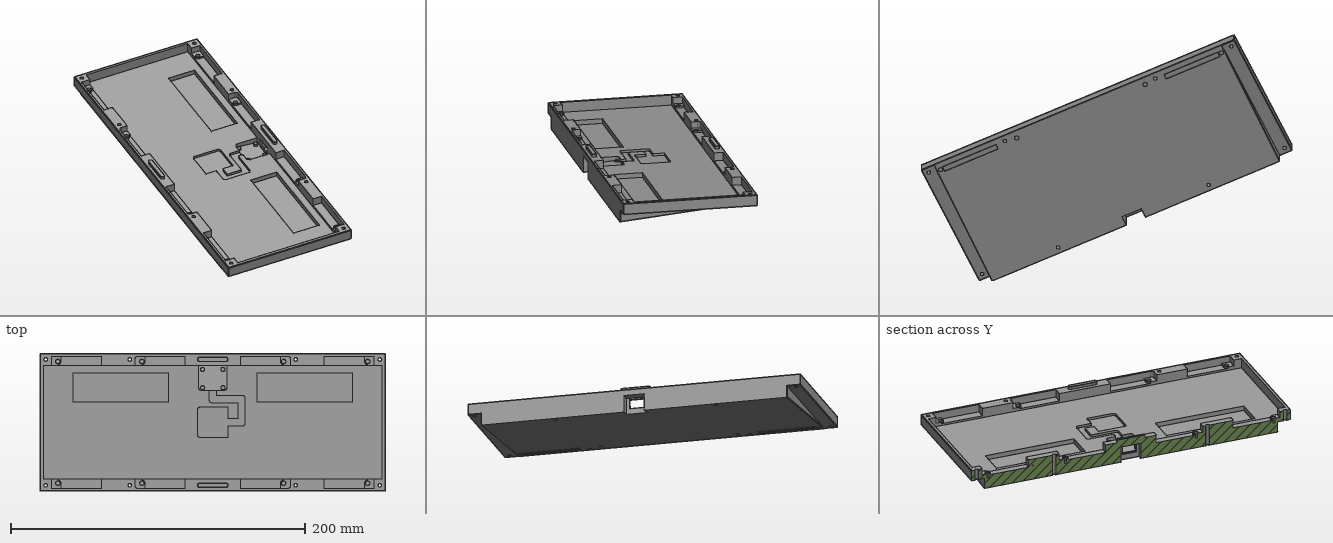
import cadquery as cq
import math


LENGTH = 235.0
WIDTH = 93.5
HEIGHT = 18.0
RIDGE_HEIGHT = 2.0
PLATE_THICKNESS = 8.0
WEDGE_LENGTH = 216.2
EDGE_CHAMFER = 0.5

PLATE_TOP = HEIGHT - RIDGE_HEIGHT
PLATE_BOTTOM = PLATE_TOP - PLATE_THICKNESS
BACK = WIDTH / 2
FRONT = -BACK
SLOPE = PLATE_BOTTOM / WIDTH
SLOPE_ANGLE = math.degrees(math.atan(SLOPE))

TRAY_LENGTH = 230.3
TRAY_WIDTH = 77.0
TRAY_DEPTH = 7.0
TRAY_BACK = TRAY_WIDTH / 2
TRAY_FLOOR = PLATE_TOP - TRAY_DEPTH

NOTCH_LENGTH = 34.0
NOTCH_XS = (35.83, 92.45)
NOTCH_WALL = 1.9
NOTCH_DEPTH = 5.6
INNER_NOTCH_RADIUS = 1.9
NOTCH_FLOOR = PLATE_TOP - NOTCH_DEPTH
NOTCH_BACK = BACK - NOTCH_WALL

SCREW_PITCH = 57.0
PAD_X = 48.2
PAD_Y = 41.4
PAD_HEIGHT = 1.2
PAD_DIAMETER = 4.2
PAD_HOLE_DIAMETER = 3.0
PAD_HOLE_DEPTH = 3.5
PAD_XS = (PAD_X, PAD_X + SCREW_PITCH)
PAD_TOP = NOTCH_FLOOR + PAD_HEIGHT

RIM_Y = 42.8
HOLE_DIAMETER = 2.3
HOLE_X = 56.5
HOLE_XS = (HOLE_X, HOLE_X + SCREW_PITCH)
RIDGE_LENGTH = 21.0
RIDGE_WIDTH = 3.0
RIDGE_CHAMFER = 0.2

BAY_LENGTH = 65.0
BAY_WIDTH = 19.7
BAY_DEPTH = 3.3
BAY_X = 62.5
BAY_Y = 23.7

CHANNEL_DEPTH = 1.6
CHANNEL_WIDTH = 5.0
CHANNEL_TURN_Y = 15.7
CHANNEL_FAR_X = 19.5
SQUARE_SIZE = 20.7
GROOVE_RADIUS = 1.9
GROOVE_FLOOR = TRAY_FLOOR - CHANNEL_DEPTH

SEAT_LENGTH = 19.3
SEAT_FRONT = 21.5
SEAT_BACK_DEPTH = 4.0
SEAT_RADIUS = 1.9
SEAT_BACK_FLOOR = TRAY_FLOOR - SEAT_BACK_DEPTH
SEAT_FRONT_FLOOR = SEAT_BACK_FLOOR + SLOPE * (TRAY_BACK - SEAT_FRONT)

POST_DIAMETER = 2.8
POST_X = 6.93
POST_YS = (23.5, 36.0)
POST_TOP = TRAY_FLOOR - 1.9

PORT_LENGTH = 10.3
PORT_RISE = 1.9
PORT_DROP = 0.5
PLUG_LENGTH = 14.3
PLUG_DEPTH = 6.8
PLUG_RISE = 2.8

FOOT_LENGTH = 40.2
FOOT_WIDTH = 3.5
FOOT_DEPTH = 0.5
FOOT_X = 83.2
FOOT_Y = -41.0

SIDES = (-1, 1)


def block(x_range, y_range, z_range):
    """Box spanning the given (low, high) ranges."""
    (x0, x1), (y0, y1), (z0, z1) = x_range, y_range, z_range
    return cq.Workplane("XY").box(x1 - x0, y1 - y0, z1 - z0, centered=False).translate((x0, y0, z0))


def centred(size, middle=0):
    """Range of the given size about its middle."""
    return (middle - size / 2, middle + size / 2)


def cylinder(x, y, diameter, z_range):
    low, high = z_range
    return cq.Workplane("XY").circle(diameter / 2).extrude(high - low).translate((x, y, low))


def yz_prism(points, length):
    """Profile in the YZ plane, extruded along X symmetrically about X = 0."""
    return cq.Workplane("YZ").polyline(points).close().extrude(length / 2, both=True)


def four_way(tool):
    """The tool together with its mirror images in X and Y."""
    pair = tool.union(tool.mirror("YZ"))
    return pair.union(pair.mirror("XZ"))


def make_plate():
    plate = block(centred(LENGTH), centred(WIDTH), (PLATE_BOTTOM, PLATE_TOP))
    return plate.edges().chamfer(EDGE_CHAMFER)


def make_wedge():
    overlap_front = FRONT + 1.2
    profile = [(FRONT, PLATE_BOTTOM), (BACK, 0), (BACK, TRAY_FLOOR), (overlap_front, TRAY_FLOOR)]
    wedge = yz_prism(profile, WEDGE_LENGTH).edges("|Z").chamfer(EDGE_CHAMFER)
    return wedge.faces("<Z").edges("not |X").chamfer(EDGE_CHAMFER)


def make_notch(centre_x, pad_x, corner_radius):
    """Notch cutter for the +X +Y quarter, leaving its screw pad and drilling the pad hole."""
    x_low, x_high = centred(NOTCH_LENGTH, centre_x)
    notch = block((x_low, x_high), (TRAY_BACK, NOTCH_BACK), (NOTCH_FLOOR, PLATE_TOP))
    if corner_radius > 0:
        notch = notch.edges("|Z and >X and >Y").fillet(corner_radius)

    pad_z = (NOTCH_FLOOR, PAD_TOP)
    pad = block((pad_x, x_high), (TRAY_BACK, NOTCH_BACK), pad_z)
    pad = pad.union(block((pad_x - PAD_DIAMETER / 2, pad_x), (PAD_Y, NOTCH_BACK), pad_z))
    pad = pad.union(cylinder(pad_x, PAD_Y, PAD_DIAMETER, pad_z))
    hole = cylinder(pad_x, PAD_Y, PAD_HOLE_DIAMETER, (PAD_TOP - PAD_HOLE_DEPTH, PAD_TOP))
    return notch.cut(pad).union(hole)


def make_ridge():
    ridge = cq.Workplane("XY").slot2D(RIDGE_LENGTH, RIDGE_WIDTH).extrude(RIDGE_HEIGHT)
    return ridge.faces(">Z").edges().chamfer(RIDGE_CHAMFER).translate((0, RIM_Y, PLATE_TOP))


def make_channel():
    """Channel from the seat: toward -Y, along +X, toward -Y again and back to the square pocket."""
    half = CHANNEL_WIDTH / 2
    turn_y = centred(CHANNEL_WIDTH, CHANNEL_TURN_Y)
    depth = (GROOVE_FLOOR, TRAY_FLOOR)
    cross_run = block((-half, CHANNEL_FAR_X + half), turn_y, depth)
    far_run = block(centred(CHANNEL_WIDTH, CHANNEL_FAR_X), (-half, turn_y[1]), depth)
    seat_run = block(centred(CHANNEL_WIDTH), (turn_y[0], SEAT_FRONT), depth)
    return_run = block((0, CHANNEL_FAR_X), centred(CHANNEL_WIDTH), depth)
    channel = cross_run.union(far_run).edges("|Z and >X").fillet(GROOVE_RADIUS)
    channel = channel.union(return_run).union(seat_run)
    seat_corner = cq.selectors.NearestToPointSelector((-half, turn_y[0], sum(depth) / 2))
    return channel.edges(seat_corner).fillet(GROOVE_RADIUS)


def make_square_pocket():
    pocket = block(centred(SQUARE_SIZE), centred(SQUARE_SIZE), (GROOVE_FLOOR, TRAY_FLOOR))
    return pocket.edges("|Z and <X").fillet(GROOVE_RADIUS)


def make_seat():
    profile = [
        (SEAT_FRONT, TRAY_FLOOR),
        (TRAY_BACK, TRAY_FLOOR),
        (TRAY_BACK, SEAT_BACK_FLOOR),
        (SEAT_FRONT, SEAT_FRONT_FLOOR),
    ]
    seat = yz_prism(profile, SEAT_LENGTH).edges("|Z and <Y").fillet(SEAT_RADIUS)
    for side in SIDES:
        for post_y in POST_YS:
            seat = seat.cut(cylinder(side * POST_X, post_y, POST_DIAMETER, (SEAT_BACK_FLOOR, POST_TOP)))
    return seat


def make_port():
    port_z = (SEAT_BACK_FLOOR - PORT_DROP, TRAY_FLOOR + PORT_RISE)
    port = block(centred(PORT_LENGTH), (TRAY_BACK, BACK), port_z)
    return port.union(block(centred(PLUG_LENGTH), (BACK - PLUG_DEPTH, BACK), (0, TRAY_FLOOR + PLUG_RISE)))


def make_foot_recess(x):
    foot = cq.Workplane("XY").box(FOOT_LENGTH, FOOT_WIDTH, 2 * FOOT_DEPTH)
    foot = foot.rotate((0, 0, 0), (1, 0, 0), -SLOPE_ANGLE)
    return foot.translate((x, FOOT_Y, SLOPE * (BACK - FOOT_Y)))


body = make_plate().union(make_wedge())
body = body.cut(block(centred(TRAY_LENGTH), centred(TRAY_WIDTH), (TRAY_FLOOR, PLATE_TOP)))

for notch_x, screw_x, radius in zip(NOTCH_XS, PAD_XS, (INNER_NOTCH_RADIUS, 0)):
    body = body.cut(four_way(make_notch(notch_x, screw_x, radius)))
for hole_x in HOLE_XS:
    body = body.cut(four_way(cylinder(hole_x, RIM_Y, HOLE_DIAMETER, (0, PLATE_TOP))))
ridge = make_ridge()
body = body.union(ridge).union(ridge.mirror("XZ"))

for side in SIDES:
    bay_x = centred(BAY_LENGTH, side * BAY_X)
    body = body.cut(block(bay_x, centred(BAY_WIDTH, BAY_Y), (TRAY_FLOOR - BAY_DEPTH, TRAY_FLOOR)))
    body = body.cut(make_foot_recess(side * FOOT_X))
body = body.cut(make_channel()).cut(make_square_pocket())
body = body.cut(make_seat()).cut(make_port())

result = body